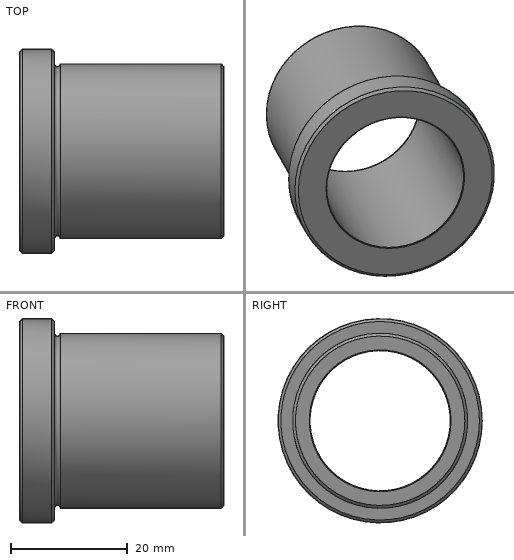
import cadquery as cq

length = 35.0
flange_diameter = 35.0
flange_thickness = 6.0
body_diameter = 30.0
bore_diameter = 24.0
outer_chamfer = 0.5
bore_chamfer = 0.15
relief_radius = 0.5

flange_radius = flange_diameter / 2
body_radius = body_diameter / 2
bore_radius = bore_diameter / 2
bore_mouth_radius = bore_radius + bore_chamfer

section = (
    cq.Workplane("XY")
    .moveTo(0, bore_mouth_radius)
    .lineTo(0, flange_radius - outer_chamfer)
    .lineTo(outer_chamfer, flange_radius)
    .lineTo(flange_thickness - outer_chamfer, flange_radius)
    .lineTo(flange_thickness, flange_radius - outer_chamfer)
    .lineTo(flange_thickness, body_radius)
    .threePointArc(
        (flange_thickness + relief_radius, body_radius - relief_radius),
        (flange_thickness + 2 * relief_radius, body_radius),
    )
    .lineTo(length - outer_chamfer, body_radius)
    .lineTo(length, body_radius - outer_chamfer)
    .lineTo(length, bore_mouth_radius)
    .lineTo(length - bore_chamfer, bore_radius)
    .lineTo(bore_chamfer, bore_radius)
    .close()
)

result = section.revolve(360, (0, 0, 0), (1, 0, 0))